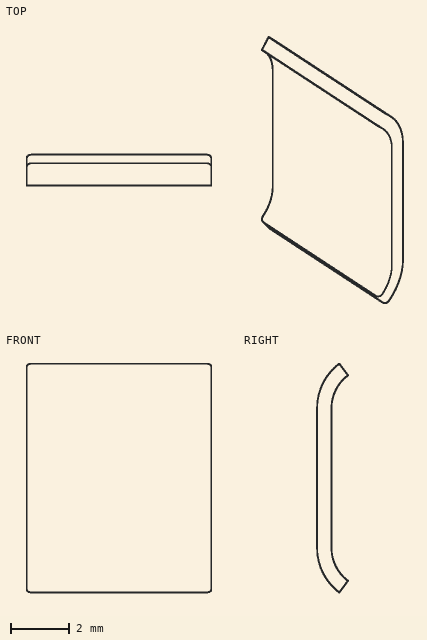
import cadquery as cq
import math

width = 6.35
height = 7.87
depth = 1.07
thickness = 0.5
outer_radius = 1.905
corner_radius = 0.17

inner_radius = outer_radius - thickness
bend_angle = math.acos((outer_radius - depth) / inner_radius)
half_height = height / 2
bend_start = half_height - outer_radius * math.sin(bend_angle)
front_y = -depth / 2
bend_center_y = front_y + outer_radius


def bend_point(radius, angle, side):
    """Point (y, z) on the upper (side=1) or lower (side=-1) bend."""
    y = bend_center_y - radius * math.cos(angle)
    z = side * (bend_start + radius * math.sin(angle))
    return (y, z)


def bent_sheet():
    """Flat sheet with both ends curled toward +Y."""
    middle = bend_angle / 2
    profile = (
        cq.Workplane("YZ")
        .moveTo(*bend_point(outer_radius, 0, -1))
        .lineTo(*bend_point(outer_radius, 0, 1))
        .threePointArc(bend_point(outer_radius, middle, 1), bend_point(outer_radius, bend_angle, 1))
        .lineTo(*bend_point(inner_radius, bend_angle, 1))
        .threePointArc(bend_point(inner_radius, middle, 1), bend_point(inner_radius, 0, 1))
        .lineTo(*bend_point(inner_radius, 0, -1))
        .threePointArc(bend_point(inner_radius, middle, -1), bend_point(inner_radius, bend_angle, -1))
        .lineTo(*bend_point(outer_radius, bend_angle, -1))
        .threePointArc(bend_point(outer_radius, middle, -1), bend_point(outer_radius, 0, -1))
        .close()
    )
    return profile.extrude(width / 2, both=True)


def lip_corner_edges(sheet):
    """Short through-thickness edges at the free corners of both lips."""
    edges = []
    for side in (1, -1):
        direction = cq.Vector(0, -math.cos(bend_angle), side * math.sin(bend_angle))
        edges += sheet.edges(cq.selectors.ParallelDirSelector(direction)).vals()
    return edges


sheet = bent_sheet()
result = sheet.newObject(lip_corner_edges(sheet)).fillet(corner_radius)